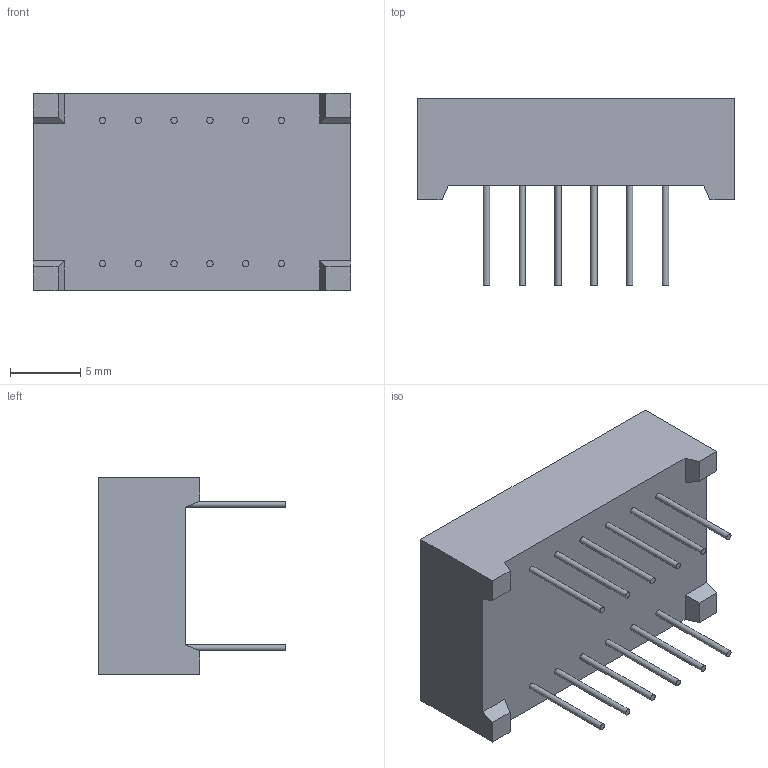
import cadquery as cq

body_width = 22.5
body_height = 14.0
body_depth = 6.2

foot_height = 1.0
foot_tip_width = 1.75
foot_tip_height = 1.7
foot_taper_x = 0.45
foot_taper_z = 0.42

pin_diameter = 0.45
pin_length = 7.1
pin_pitch = 2.54
row_spacing = 10.16
pins_per_row = 6
pin_rows = 2


def make_body():
    """Housing block with its back face on the plane Y = 0."""
    return cq.Workplane("XY").box(body_width, body_depth, body_height, centered=(True, False, True))


def make_foot(side_x, side_z):
    """Foot at one corner of the back face; side_x and side_z are +1 or -1."""
    corner_x = side_x * body_width / 2
    corner_z = side_z * body_height / 2

    def foot_section(width, height):
        """Outline points of a foot section that starts at the body corner."""
        inner_x = corner_x - side_x * width
        inner_z = corner_z - side_z * height
        return [(corner_x, corner_z), (inner_x, corner_z), (inner_x, inner_z), (corner_x, inner_z)]

    return (
        cq.Workplane("XZ")
        .polyline(foot_section(foot_tip_width + foot_taper_x, foot_tip_height + foot_taper_z))
        .close()
        .workplane(offset=foot_height)
        .polyline(foot_section(foot_tip_width, foot_tip_height))
        .close()
        .loft(ruled=True)
    )


def make_pins():
    """All leads, running from the back face toward -Y."""
    return (
        cq.Workplane("XZ")
        .rarray(pin_pitch, row_spacing, pins_per_row, pin_rows)
        .circle(pin_diameter / 2)
        .extrude(pin_length)
    )


result = make_body()
for side_x in (-1, 1):
    for side_z in (-1, 1):
        result = result.union(make_foot(side_x, side_z))
result = result.union(make_pins())